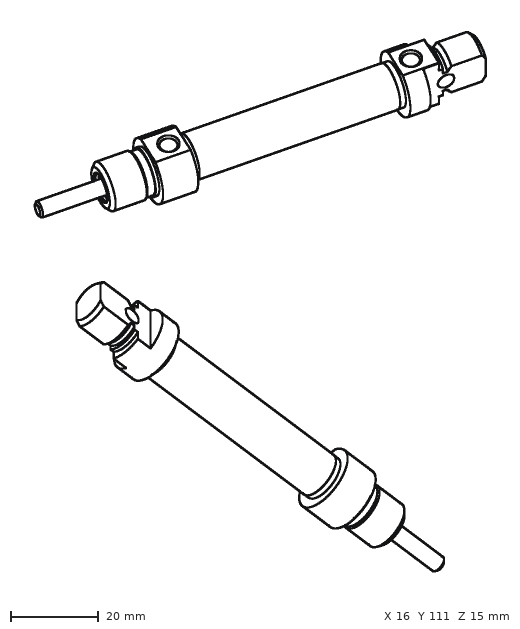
import cadquery as cq

LENGTH = 111.0

FLANGE_DIA = 16.0
FLAT_HEIGHT = 7.0
SPIGOT_DIA = 11.2
SPIGOT_LENGTH = 1.4
END_DIA = 12.0
END_CHAMFER = 1.0
PORT_DIA = 4.1
PORT_MOUTH_DIA = 5.1

TUBE_DIA = 11.3

ROD_DIA = 4.0
ROD_TIP_DIA = 3.0
ROD_CHAMFER = (ROD_DIA - ROD_TIP_DIA) / 2

NOSE_Y = 15.9
NOSE_NECK_START = 25.1
NOSE_NECK_END = 27.0
FRONT_FLANGE_START = 27.9
FRONT_FLANGE_END = 36.7
NOSE_NECK_DIA = 11.2
NOSE_EDGE_CHAMFER = (END_DIA - NOSE_NECK_DIA) / 2
RECESS_MOUTH_DIA = 7.3
RECESS_DIA = 6.7
RECESS_CHAMFER = (RECESS_MOUTH_DIA - RECESS_DIA) / 2
RECESS_DEPTH = 1.1
FRONT_PORT_Y = 33.0

REAR_FLANGE_START = 90.1
CHEEK_START = 95.2
REAR_FLANGE_END = 99.2
TAIL_NECK_START = 100.2
TAIL_NECK_END = 101.3
TAIL_NECK_DIA = 10.0
TAIL_EDGE_CHAMFER = (END_DIA - TAIL_NECK_DIA) / 2
CHEEK_WIDTH = 8.0
EYE_Y = 101.0
EYE_DIA = 4.1
REAR_PORT_Y = 94.0
REAR_PORT_DEPTH = 5.0
DRILL_TIP_HEIGHT = 1.2

FRONT_CAP_END = FRONT_FLANGE_END + SPIGOT_LENGTH
REAR_CAP_START = REAR_FLANGE_START - SPIGOT_LENGTH


def turned(profile):
    """Revolve (diameter, Y) points about the Y axis, closed along the axis."""
    points = [(dia / 2, y) for dia, y in profile]
    outline = [(0, profile[0][1])] + points + [(0, profile[-1][1])]
    return cq.Workplane("XY").polyline(outline).close().revolve(360, (0, 0, 0), (0, 1, 0))


def cut_port_flat(cap, start, end):
    """Plane the top of a flange flat between two Y stations."""
    cutter = cq.Workplane("XY").box(
        FLANGE_DIA, end - start, FLANGE_DIA, centered=(True, False, False)
    )
    return cap.cut(cutter.translate((0, start, FLAT_HEIGHT)))


def port_cutter(y, depth, tip_height=0):
    """Countersunk port going down from the flat, with an optional conical drill tip."""
    radius = PORT_DIA / 2
    mouth_radius = PORT_MOUTH_DIA / 2
    outline = cq.Workplane("XZ").moveTo(0, 0).lineTo(mouth_radius, 0)
    outline = outline.lineTo(radius, radius - mouth_radius).lineTo(radius, -depth)
    outline = outline.lineTo(0, -depth - tip_height).close()
    return outline.revolve(360, (0, 0, 0), (0, 1, 0)).translate((0, y, FLAT_HEIGHT))


def make_front_cap():
    cap = turned([
        (END_DIA - 2 * END_CHAMFER, NOSE_Y),
        (END_DIA, NOSE_Y + END_CHAMFER),
        (END_DIA, NOSE_NECK_START - NOSE_EDGE_CHAMFER),
        (NOSE_NECK_DIA, NOSE_NECK_START),
        (NOSE_NECK_DIA, NOSE_NECK_END),
        (END_DIA, NOSE_NECK_END),
        (END_DIA, FRONT_FLANGE_START),
        (FLANGE_DIA, FRONT_FLANGE_START),
        (FLANGE_DIA, FRONT_FLANGE_END),
        (SPIGOT_DIA, FRONT_FLANGE_END),
        (SPIGOT_DIA, FRONT_CAP_END),
    ])
    cap = cut_port_flat(cap, FRONT_FLANGE_START, FRONT_FLANGE_END)
    recess_floor = NOSE_Y + RECESS_DEPTH
    cap = cap.cut(turned([
        (RECESS_MOUTH_DIA, NOSE_Y),
        (RECESS_DIA, NOSE_Y + RECESS_CHAMFER),
        (RECESS_DIA, recess_floor),
        (ROD_DIA, recess_floor),
        (ROD_DIA, FRONT_CAP_END),
    ]))
    return cap.cut(port_cutter(FRONT_PORT_Y, FLAT_HEIGHT))


def make_tube():
    return turned([(TUBE_DIA, FRONT_CAP_END), (TUBE_DIA, REAR_CAP_START)])


def make_rear_cap():
    cap = turned([
        (SPIGOT_DIA, REAR_CAP_START),
        (SPIGOT_DIA, REAR_FLANGE_START),
        (FLANGE_DIA, REAR_FLANGE_START),
        (FLANGE_DIA, REAR_FLANGE_END),
        (END_DIA, REAR_FLANGE_END),
        (END_DIA, TAIL_NECK_START),
        (TAIL_NECK_DIA, TAIL_NECK_START),
        (TAIL_NECK_DIA, TAIL_NECK_END),
        (END_DIA, TAIL_NECK_END + TAIL_EDGE_CHAMFER),
        (END_DIA, LENGTH - END_CHAMFER),
        (END_DIA - 2 * END_CHAMFER, LENGTH),
    ])
    cap = cut_port_flat(cap, REAR_FLANGE_START, REAR_FLANGE_END)
    side = cq.Workplane("XY").box(FLANGE_DIA, LENGTH - CHEEK_START, FLANGE_DIA, centered=(True, False, True))
    for direction in (-1, 1):
        cap = cap.cut(side.translate((direction * (CHEEK_WIDTH + FLANGE_DIA) / 2, CHEEK_START, 0)))
    eye = cq.Workplane("YZ").center(EYE_Y, 0).circle(EYE_DIA / 2).extrude(CHEEK_WIDTH, both=True)
    cap = cap.cut(eye)
    return cap.cut(port_cutter(REAR_PORT_Y, REAR_PORT_DEPTH, DRILL_TIP_HEIGHT))


def make_rod():
    return turned([(ROD_TIP_DIA, 0), (ROD_DIA, ROD_CHAMFER), (ROD_DIA, FRONT_CAP_END)])


front_cap = make_front_cap()
tube = make_tube()
rear_cap = make_rear_cap()
rod = make_rod()

result = cq.Compound.makeCompound([front_cap.val(), tube.val(), rear_cap.val(), rod.val()])